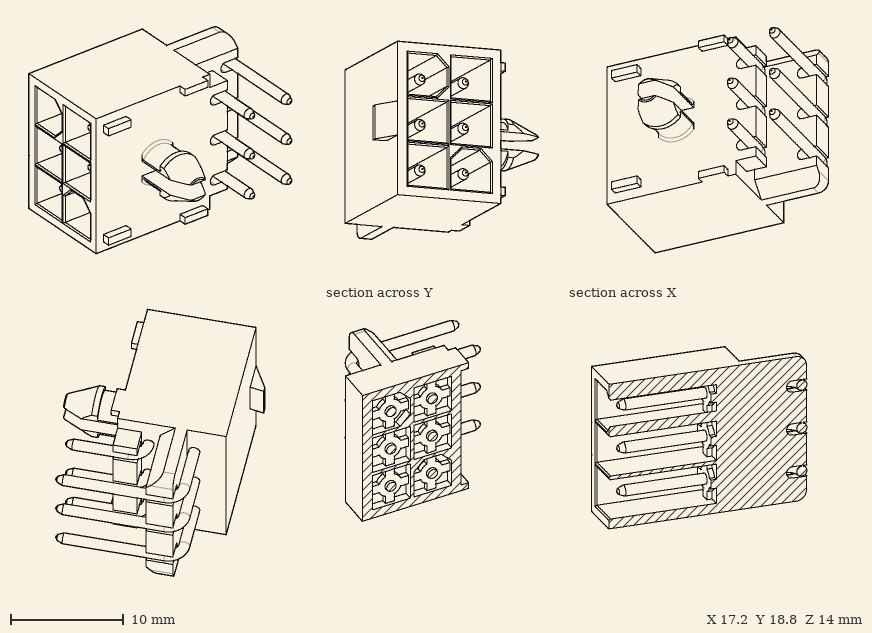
import cadquery as cq
import math

PITCH = 4.14
COLUMNS = 2
ROWS = 3

BODY_WIDTH = 9.87
BODY_DEPTH = 12.7
BODY_HEIGHT = 13.97
HALF_HEIGHT = BODY_HEIGHT / 2

FIRST_COLUMN_X = 2.9
COLUMN_X = [FIRST_COLUMN_X + column * PITCH for column in range(COLUMNS)]
ROW_Z = [(row - (ROWS - 1) / 2) * PITCH for row in range(ROWS)]

CAVITY_MOUTH = 4.02
MOUTH_CHAMFER = 0.14
CAVITY_DEPTH = 10.2
KEY_CORNER = 1.1
HUB_RADIUS = 1.17
RIB_WIDTH = 0.9
HUB_HEIGHT = 0.5

PIN_RADIUS = 0.5
PIN_FRONT_Y = 1.3
BEND_RADIUS = 1.45
NEAR_TAIL_Y = 14.2
PIN_END_X = 14.27
TIP_CONE_LENGTH = 0.53
TIP_CONE_RADIUS = 0.28
TIP_POINT_LENGTH = 0.15
TIP_POINT_RADIUS = 0.05

LONG_WALL_START_X = 3.55
LONG_WALL_END_X = 5.99
LONG_WALL_FLAT = 1.07
LONG_WALL_CORNER_RADIUS = 1.0
SHORT_WALL_START_X = 7.68
SLOT_WIDTH = 1.04
SLOT_DEPTH = 1.9
WALL_TOP_ABOVE_PIN = 0.47
LONG_WALL_TOP_Y = NEAR_TAIL_Y + PITCH + WALL_TOP_ABOVE_PIN
SHORT_WALL_TOP_Y = NEAR_TAIL_Y + WALL_TOP_ABOVE_PIN
WALL_SLOPE = LONG_WALL_END_X - LONG_WALL_START_X - LONG_WALL_FLAT
SHORT_WALL_HALF_HEIGHT = HALF_HEIGHT - WALL_SLOPE

LATCH_REACH = 1.27
LATCH_WIDTH = 3.1
LATCH_TIP_START_Y = 2.26
LATCH_TIP_END_Y = 2.73
LATCH_ROOT_Y = 2.51

FOOT_REACH = 0.75
FOOT_LENGTH = 2.53
REAR_FOOT_Y = 9.38
FRONT_FOOT_Y = 0.81
REAR_FOOT_THICKNESS = 0.69
FRONT_FOOT_THICKNESS = 0.76
FOOT_GAP = 0.26

PEG_Y = 6.83
PEG_LENGTH = 6.02
PEG_RADIUS = 1.98
PEG_FLAT_WIDTH = 3.46
PEG_SPLIT = 1.56
ROOT_FILLET = 0.25
BARB_START = 2.7
BARB_LENGTH = 0.54
BARB_RADIUS = 2.3
PEG_END_RADIUS = 1.16
PEG_END_CHAMFER = 0.11


def box(x, y, z):
    """Box given by its (start, end) range on each axis."""
    size = (x[1] - x[0], y[1] - y[0], z[1] - z[0])
    return cq.Workplane("XY").box(*size, centered=False).translate((x[0], y[0], z[0]))


def square_outline(half, keyed_corners, key_length):
    """Counter-clockwise square outline, cut at 45 degrees on the keyed (x, z) sign corners."""
    points = []
    for sx, sz in [(1, -1), (1, 1), (-1, 1), (-1, -1)]:
        if (sx, sz) not in keyed_corners:
            points.append((sx * half, sz * half))
            continue
        along_x = (sx * (half - key_length), sz * half)
        along_z = (sx * half, sz * (half - key_length))
        points += [along_z, along_x] if sx == sz else [along_x, along_z]
    return points


def cavity_prism(outline, start_y, depth, taper=0):
    """Prism from a cavity outline, running from start_y toward the rear."""
    prism = cq.Workplane("XZ").polyline(outline).close().extrude(-depth, taper=taper)
    return prism.translate((0, start_y, 0))


def cavity(keyed_corners):
    """Cavity with a flared mouth and a floor whose hub and cross ribs stand proud."""
    half_mouth = CAVITY_MOUTH / 2
    half = half_mouth - MOUTH_CHAMFER
    inner_key = KEY_CORNER - MOUTH_CHAMFER * (2 - math.sqrt(2))
    mouth_outline = square_outline(half_mouth, keyed_corners, KEY_CORNER)
    inner_outline = square_outline(half, keyed_corners, inner_key)

    mouth = cavity_prism(mouth_outline, 0, MOUTH_CHAMFER, taper=45)
    shaft = cavity_prism(inner_outline, 0, CAVITY_DEPTH)
    hub_y = (CAVITY_DEPTH - HUB_HEIGHT, CAVITY_DEPTH)
    rib = (-RIB_WIDTH / 2, RIB_WIDTH / 2)
    hub = cq.Workplane("XZ").circle(HUB_RADIUS).extrude(-HUB_HEIGHT).translate((0, hub_y[0], 0))
    hub = hub.union(box((-half, half), hub_y, rib))
    hub = hub.union(box(rib, hub_y, (-half, half)))
    return mouth.union(shaft.cut(hub))


def keyed_corners_of(column, row):
    """Corners cut away in the two keyed positions."""
    if (column, row) == (0, ROWS - 1):
        return [(1, 1), (1, -1)]
    if (column, row) == (COLUMNS - 1, 0):
        return [(1, 1), (-1, 1)]
    return []


def housing():
    body = box((0, BODY_WIDTH), (0, BODY_DEPTH), (-HALF_HEIGHT, HALF_HEIGHT))
    for column, x in enumerate(COLUMN_X):
        for row, z in enumerate(ROW_Z):
            body = body.cut(cavity(keyed_corners_of(column, row)).translate((x, 0, z)))
    return body


def latch():
    outline = [
        (0, 0),
        (-LATCH_REACH, LATCH_TIP_START_Y),
        (-LATCH_REACH, LATCH_TIP_END_Y),
        (0, LATCH_ROOT_Y),
    ]
    return cq.Workplane("XY").polyline(outline).close().extrude(LATCH_WIDTH / 2, both=True)


def feet():
    """Outer pair of feet near the rear and inner pair near the mating face."""
    x = (BODY_WIDTH, BODY_WIDTH + FOOT_REACH)
    rear_bottom = HALF_HEIGHT - REAR_FOOT_THICKNESS
    front_top = rear_bottom - FOOT_GAP
    rear_y = (REAR_FOOT_Y, REAR_FOOT_Y + FOOT_LENGTH)
    front_y = (FRONT_FOOT_Y, FRONT_FOOT_Y + FOOT_LENGTH)
    upper = box(x, rear_y, (rear_bottom, HALF_HEIGHT))
    upper = upper.add(box(x, front_y, (front_top - FRONT_FOOT_THICKNESS, front_top)))
    return upper.add(upper.mirror("XY"))


def pin_slots(start_x, end_x, top_y):
    """Round-bottomed slots, open at the rear edge of a wall, one for each row."""
    radius = SLOT_WIDTH / 2
    round_y = top_y - SLOT_DEPTH + radius
    slots = cq.Workplane("XY")
    for z in ROW_Z:
        slot = box((start_x, end_x), (round_y, top_y), (z - radius, z + radius))
        bottom = cq.Workplane("YZ").center(round_y, z).circle(radius).extrude(end_x - start_x)
        slots = slots.add(slot.union(bottom.translate((start_x, 0, 0))))
    return slots.combine()


def long_wall():
    """Tall wall with rounded rear corners and 45-degree slopes on its board side."""
    height = LONG_WALL_TOP_Y - BODY_DEPTH
    slope_x = LONG_WALL_START_X + LONG_WALL_FLAT
    outline = [
        (LONG_WALL_START_X, -HALF_HEIGHT),
        (slope_x, -HALF_HEIGHT),
        (LONG_WALL_END_X, -SHORT_WALL_HALF_HEIGHT),
        (LONG_WALL_END_X, SHORT_WALL_HALF_HEIGHT),
        (slope_x, HALF_HEIGHT),
        (LONG_WALL_START_X, HALF_HEIGHT),
    ]
    sloped = cq.Workplane("XZ").polyline(outline).close().extrude(-height)
    sloped = sloped.translate((0, BODY_DEPTH, 0))
    rounded = box(
        (LONG_WALL_START_X, LONG_WALL_END_X),
        (BODY_DEPTH, LONG_WALL_TOP_Y),
        (-HALF_HEIGHT, HALF_HEIGHT),
    )
    rounded = rounded.faces(">Y").edges("|X").fillet(LONG_WALL_CORNER_RADIUS)
    wall = sloped.intersect(rounded)
    return wall.cut(pin_slots(LONG_WALL_START_X, LONG_WALL_END_X, LONG_WALL_TOP_Y))


def short_wall():
    wall = box(
        (SHORT_WALL_START_X, BODY_WIDTH),
        (BODY_DEPTH, SHORT_WALL_TOP_Y),
        (-SHORT_WALL_HALF_HEIGHT, SHORT_WALL_HALF_HEIGHT),
    )
    return wall.cut(pin_slots(SHORT_WALL_START_X, BODY_WIDTH, SHORT_WALL_TOP_Y))


def pin_tip():
    """Pointed tip along +X, ending at the origin."""
    tip_length = TIP_CONE_LENGTH + TIP_POINT_LENGTH
    outline = [
        (-tip_length, 0),
        (-tip_length, PIN_RADIUS),
        (-TIP_POINT_LENGTH, TIP_CONE_RADIUS),
        (0, TIP_POINT_RADIUS),
        (0, 0),
    ]
    return cq.Workplane("XY").polyline(outline).close().revolve(360, (0, 0, 0), (1, 0, 0))


def bent_pin(x, tail_y):
    """Pin running rearward from its cavity, then bent toward the board side."""
    tip_length = TIP_CONE_LENGTH + TIP_POINT_LENGTH
    start = (x, PIN_FRONT_Y + tip_length)
    bend_start = (x, tail_y - BEND_RADIUS)
    bend_end = (x + BEND_RADIUS, tail_y)
    bend_offset = BEND_RADIUS * math.sqrt(0.5)
    bend_middle = (bend_end[0] - bend_offset, bend_start[1] + bend_offset)
    path = cq.Workplane("XY").moveTo(*start).lineTo(*bend_start)
    path = path.threePointArc(bend_middle, bend_end).lineTo(PIN_END_X - tip_length, tail_y)
    shank = cq.Workplane("XZ", origin=(*start, 0)).circle(PIN_RADIUS).sweep(path)
    mating_tip = pin_tip().rotate((0, 0, 0), (0, 0, 1), -90).translate((x, PIN_FRONT_Y, 0))
    tail_tip = pin_tip().translate((PIN_END_X, tail_y, 0))
    return shank.union(mating_tip).union(tail_tip)


def snap_peg():
    """Barbed round peg with flat sides, split lengthwise into two legs."""
    barb_end = BARB_START + BARB_LENGTH
    cone_end = PEG_LENGTH - PEG_END_CHAMFER
    fillet_offset = ROOT_FILLET * (1 - math.sqrt(0.5))
    profile = (
        cq.Workplane("XY")
        .moveTo(0, 0)
        .lineTo(0, PEG_RADIUS + ROOT_FILLET)
        .threePointArc((fillet_offset, PEG_RADIUS + fillet_offset), (ROOT_FILLET, PEG_RADIUS))
        .lineTo(BARB_START, PEG_RADIUS)
        .lineTo(BARB_START, BARB_RADIUS)
        .lineTo(barb_end, BARB_RADIUS)
        .lineTo(cone_end, PEG_END_RADIUS)
        .lineTo(PEG_LENGTH, PEG_END_RADIUS - PEG_END_CHAMFER)
        .lineTo(PEG_LENGTH, 0)
        .close()
    )
    peg = profile.revolve(360, (0, 0, 0), (1, 0, 0))
    half_flat = PEG_FLAT_WIDTH / 2
    barb_range = (-BARB_RADIUS, BARB_RADIUS)
    peg = peg.intersect(box((0, PEG_LENGTH), (-half_flat, half_flat), barb_range))
    peg = peg.cut(box((0, PEG_LENGTH), barb_range, (-PEG_SPLIT / 2, PEG_SPLIT / 2)))
    return peg.translate((BODY_WIDTH, PEG_Y, 0))


result = housing()
for feature in [latch(), feet(), long_wall(), short_wall(), snap_peg()]:
    result = result.union(feature)
for column, column_x in enumerate(COLUMN_X):
    column_tail_y = NEAR_TAIL_Y + (COLUMNS - 1 - column) * PITCH
    pin = bent_pin(column_x, column_tail_y)
    for row_z in ROW_Z:
        result = result.union(pin.translate((0, 0, row_z)))